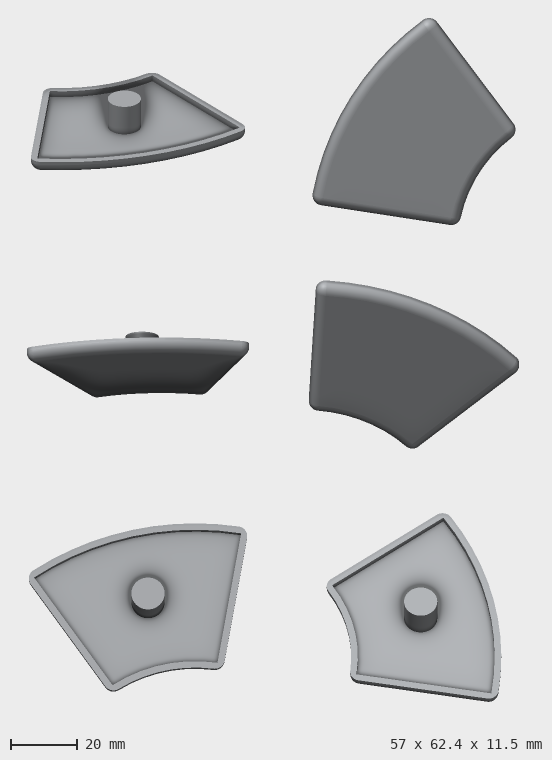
import cadquery as cq
import math

SECTOR_ANGLE = 45.0
POCKET_INNER_RADIUS = 44.5
POCKET_OUTER_RADIUS = 85.55
WALL = 2.0
FLOOR = 2.0
TRAY_HEIGHT = 4.0
CORNER_RADIUS = 3.0
BOTTOM_FILLET = 3.0
PIN_DIAMETER = 10.0
TOTAL_HEIGHT = 11.5


def polar(radius, angle):
    """Point at a radius and an angle in degrees about the arc centre."""
    radians = math.radians(angle)
    return (radius * math.cos(radians), radius * math.sin(radians))


def ring_sector(inner_radius, outer_radius, side_offset, bottom, height):
    """Ring sector swept clockwise from the X axis, its straight sides moved outward by side_offset."""
    inner_spread = math.degrees(math.asin(side_offset / inner_radius))
    outer_spread = math.degrees(math.asin(side_offset / outer_radius))
    middle = -SECTOR_ANGLE / 2
    return (
        cq.Workplane("XY", origin=(0, 0, bottom))
        .moveTo(*polar(inner_radius, inner_spread))
        .lineTo(*polar(outer_radius, outer_spread))
        .threePointArc(
            polar(outer_radius, middle),
            polar(outer_radius, -SECTOR_ANGLE - outer_spread),
        )
        .lineTo(*polar(inner_radius, -SECTOR_ANGLE - inner_spread))
        .threePointArc(polar(inner_radius, middle), polar(inner_radius, inner_spread))
        .close()
        .extrude(height)
    )


def make_tray():
    """Rounded shell with a sharp-cornered pocket and an even wall."""
    body = ring_sector(
        POCKET_INNER_RADIUS - WALL, POCKET_OUTER_RADIUS + WALL, WALL / 2, 0, TRAY_HEIGHT
    )
    body = body.edges("|Z").fillet(CORNER_RADIUS)
    body = body.faces("<Z").edges().fillet(BOTTOM_FILLET)
    pocket_depth = TRAY_HEIGHT - FLOOR
    pocket = ring_sector(POCKET_INNER_RADIUS, POCKET_OUTER_RADIUS, -WALL / 2, FLOOR, pocket_depth)
    return body.cut(pocket)


def make_pin():
    """Round pin rising from inside the floor at the middle of the sector."""
    middle_radius = (POCKET_INNER_RADIUS + POCKET_OUTER_RADIUS) / 2
    pin_base = FLOOR / 2
    return (
        cq.Workplane("XY", origin=(0, 0, pin_base))
        .center(*polar(middle_radius, -SECTOR_ANGLE / 2))
        .circle(PIN_DIAMETER / 2)
        .extrude(TOTAL_HEIGHT - pin_base)
    )


result = make_tray().union(make_pin())